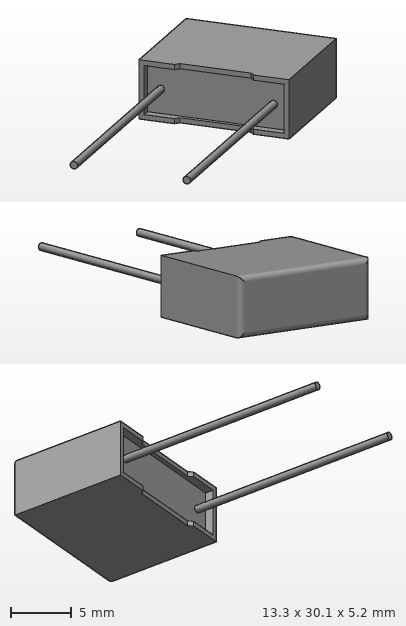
import cadquery as cq

case_width = 13.3
case_length = 11.1
case_height = 5.2
total_length = 30.1

wall = 0.45
back_edge_radius = 0.48
notch_mouth_width = 7.0
notch_depth = 0.35

filling_recess = 0.75
lead_diameter = 0.65
lead_pitch = 10.0

cavity_width = case_width - 2 * wall
cavity_height = case_height - 2 * wall
cavity_length = case_length - wall
lead_tip_y = case_length - total_length


def box_from_y(width, length, height, start_y):
    """Box centred on X and Z that runs in +Y from start_y."""
    return cq.Workplane("XY").box(width, length, height).translate((0, start_y + length / 2, 0))


def make_notch_cutter():
    """Trapezoid with 45 degree ends, cut through both large walls at the mouth."""
    mouth_half = notch_mouth_width / 2
    floor_half = mouth_half - notch_depth
    outline = [
        (-mouth_half, 0),
        (mouth_half, 0),
        (floor_half, notch_depth),
        (-floor_half, notch_depth),
    ]
    return cq.Workplane("XY").polyline(outline).close().extrude(case_height / 2, both=True)


def make_case():
    """Box-shaped shell, open at the mouth, with rounded edges around its back."""
    shell = box_from_y(case_width, case_length, case_height, 0)
    shell = shell.faces(">Y").edges().fillet(back_edge_radius)
    cavity = box_from_y(cavity_width, cavity_length, cavity_height, 0)
    return shell.cut(cavity).cut(make_notch_cutter())


def make_filling():
    """Block that fills the cavity up to a face set back from the mouth."""
    return box_from_y(cavity_width, cavity_length - filling_recess, cavity_height, filling_recess)


def make_lead(x):
    """Straight round wire from its free tip to the face of the filling."""
    start = cq.Vector(x, lead_tip_y, 0)
    length = filling_recess - lead_tip_y
    return cq.Solid.makeCylinder(lead_diameter / 2, length, start, cq.Vector(0, 1, 0))


case = make_case()
filling = make_filling()
leads = [make_lead(side * lead_pitch / 2) for side in (-1, 1)]

result = cq.Compound.makeCompound([case.val(), filling.val(), *leads])